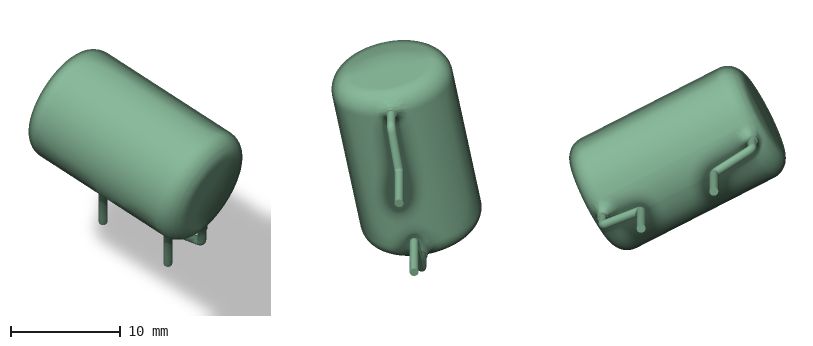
import cadquery as cq
import math

total_height = 21.1
body_length = 17.8
body_diameter = 11.2
body_edge_radius = 1.8
body_center_z = total_height - body_diameter / 2

collar_diameter = 1.0
collar_bottom_z = 9.05
collar_fillet_radius = 1.48
selection_margin = 0.02

lead_diameter = 0.8
lead_exit_x = 7.7
lead_tip_x = 3.75
upper_bend_z = 7.28
lower_bend_z = 5.02
bend_radius = 0.6


def make_body():
    """Rounded cylinder with a flared collar above each lead."""
    body = (
        cq.Workplane("YZ", origin=(-body_length / 2, 0, body_center_z))
        .circle(body_diameter / 2)
        .extrude(body_length)
        .faces("<X or >X")
        .edges()
        .fillet(body_edge_radius)
    )
    for side in (-1, 1):
        collar = (
            cq.Workplane("XY", origin=(side * lead_exit_x, 0, collar_bottom_z))
            .circle(collar_diameter / 2)
            .extrude(body_center_z - collar_bottom_z)
        )
        body = body.union(collar)
    return blend_collars(body)


def blend_collars(body):
    """Round the joints between the collars and the body."""
    reach = collar_diameter
    for side in (-1, 1):
        center_x = side * lead_exit_x
        joint_box = cq.selectors.BoxSelector(
            (center_x - reach, -reach, collar_bottom_z + selection_margin),
            (center_x + reach, reach, body_center_z),
            boundingbox=True,
        )
        body = body.edges(joint_box).edges("not |Z").fillet(collar_fillet_radius)
    return body


def make_lead(side):
    """Wire that drops from a collar, steps inward and drops to its tip; side is -1 or 1."""
    upper_center_x = lead_exit_x - bend_radius
    lower_center_x = lead_tip_x + bend_radius
    run = upper_center_x - lower_center_x
    drop = upper_bend_z - lower_bend_z
    slope = math.atan2(drop, run) - math.asin(2 * bend_radius / math.hypot(run, drop))
    bend_angle = math.pi / 2 - slope

    def bend_offset(angle):
        return bend_radius * math.cos(angle), bend_radius * math.sin(angle)

    mid_x, mid_z = bend_offset(bend_angle / 2)
    end_x, end_z = bend_offset(bend_angle)
    path = (
        cq.Workplane("XZ")
        .moveTo(side * lead_exit_x, collar_bottom_z)
        .lineTo(side * lead_exit_x, upper_bend_z)
        .threePointArc(
            (side * (upper_center_x + mid_x), upper_bend_z - mid_z),
            (side * (upper_center_x + end_x), upper_bend_z - end_z),
        )
        .lineTo(side * (lower_center_x - end_x), lower_bend_z + end_z)
        .threePointArc(
            (side * (lower_center_x - mid_x), lower_bend_z + mid_z),
            (side * lead_tip_x, lower_bend_z),
        )
        .lineTo(side * lead_tip_x, 0)
    )
    return (
        cq.Workplane("XY", origin=(side * lead_exit_x, 0, collar_bottom_z))
        .circle(lead_diameter / 2)
        .sweep(path)
    )


body = make_body()
leads = [make_lead(side) for side in (-1, 1)]

result = cq.Compound.makeCompound([body.val(), *[lead.val() for lead in leads]])